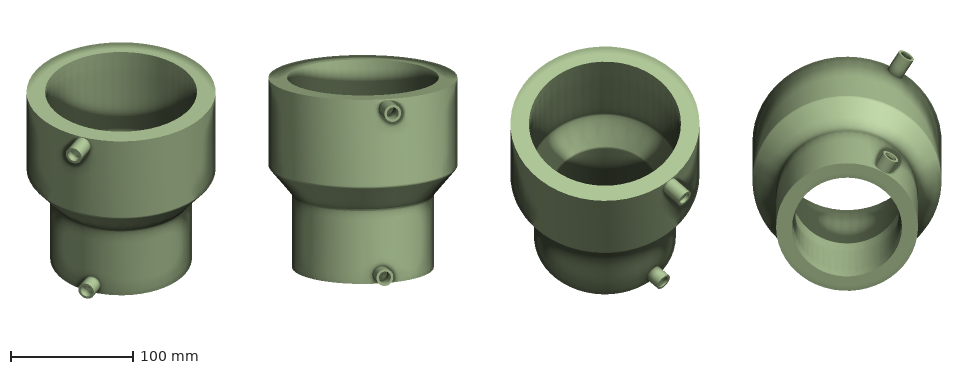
import cadquery as cq

height = 160.0
overall_depth = 173.0
wide_radius = 77.5
wide_bore_radius = 62.3
narrow_radius = 58.1
narrow_bore_radius = 45.0
cone_bottom = 62.5
cone_top = 85.8
blend_radius = 2.6

pin_radius = 7.1
pin_bore_radius = 5.0
pin_edge_gap = 0.7
wide_pin_reach = overall_depth - wide_radius
narrow_pin_reach = 70.2
pin_root_depth = 1.7


def stepped_solid(bottom_radius, top_radius):
    """Narrow cylinder, cone and wide cylinder with blended cone edges."""
    profile = (
        cq.Workplane("XZ")
        .lineTo(bottom_radius, 0)
        .lineTo(bottom_radius, cone_bottom)
        .lineTo(top_radius, cone_top)
        .lineTo(top_radius, height)
        .lineTo(0, height)
        .close()
    )
    solid = profile.revolve(360, (0, 0, 0), (0, 1, 0))
    middle_edges = cq.selectors.BoxSelector(
        (-height, -height, cone_bottom / 2), (height, height, (cone_top + height) / 2)
    )
    return solid.edges("%CIRCLE").edges(middle_edges).fillet(blend_radius)


def pin(body_radius, reach, center_z):
    """Hollow stub rooted in the wall, its bore stopping at the wall surface."""
    tip = cq.Workplane("XZ", origin=(0, -reach, center_z))
    stub = tip.circle(pin_radius).extrude(-(reach - body_radius + pin_root_depth))
    bore = tip.circle(pin_bore_radius).extrude(-(reach - body_radius))
    return stub.cut(bore)


outer = stepped_solid(narrow_radius, wide_radius)
inner = stepped_solid(narrow_bore_radius, wide_bore_radius)
pin_offset = pin_radius + pin_edge_gap

result = (
    outer.cut(inner)
    .union(pin(wide_radius, wide_pin_reach, height - pin_offset))
    .union(pin(narrow_radius, narrow_pin_reach, pin_offset))
)